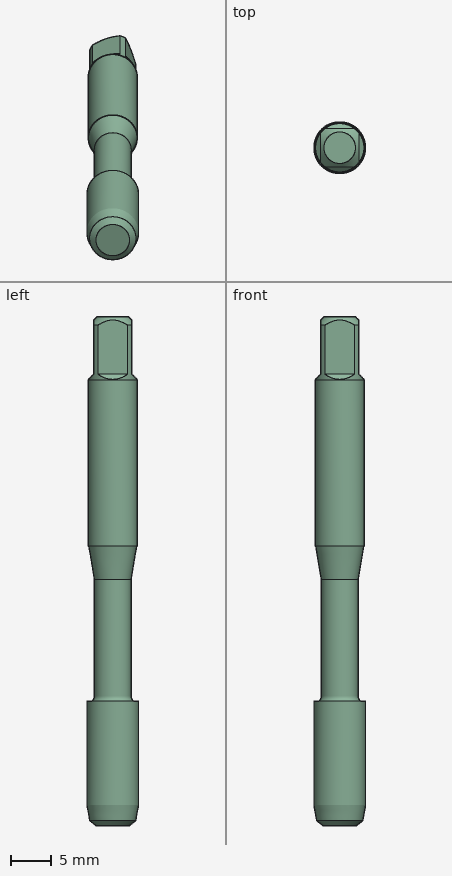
import cadquery as cq
import math

total_length = 62.2

thread_diameter = 6.35
lead_end_diameter = 5.65
tip_diameter = 4.1
tip_chamfer_height = 0.6
lead_top = 2.5
thread_top = 15.25
neck_diameter = 4.55
neck_top = 30.1
neck_root_radius = 0.7
neck_root_height = 0.55

cone_top_diameter = 5.9
cone_top = 34.2
shank_diameter = 6.05
shank_top = 54.5
drive_corner_diameter = 5.9
drive_across_flats = 4.65
drive_end_diameter = 3.85

drive_chamfer = (drive_corner_diameter - drive_end_diameter) / 2
flat_runout = (shank_diameter - drive_across_flats) / 2
flat_bottom = shank_top + flat_runout


def revolved(stations):
    """Solid of revolution about Z from (diameter, height) stations, bottom to top."""
    bottom = stations[0][1]
    top = stations[-1][1]
    outline = [(diameter / 2, height) for diameter, height in stations]
    points = [(0, bottom)] + outline + [(0, top)]
    return cq.Workplane("XZ").polyline(points).close().revolve(360, (0, 0), (0, 1))


def flat_cutter():
    """Material removed on the +X side to leave one drive flat with a sloping run-out."""
    flat_position = drive_across_flats / 2
    outer = shank_diameter
    runout_drop = outer - flat_position
    points = [
        (flat_position, total_length),
        (flat_position, flat_bottom),
        (outer, flat_bottom - runout_drop),
        (outer, total_length),
    ]
    return cq.Workplane("XZ").polyline(points).close().extrude(shank_diameter, both=True)


def make_neck_root():
    """Concave collar: an arc tangent to the neck that runs down and out onto the thread shoulder."""
    neck_radius = neck_diameter / 2
    arc_top = thread_top + neck_root_height

    def arc_point(drop):
        spread = neck_root_radius - math.sqrt(neck_root_radius**2 - drop**2)
        return (neck_radius + spread, arc_top - drop)

    outline = (
        cq.Workplane("XZ")
        .moveTo(0, thread_top)
        .lineTo(*arc_point(neck_root_height))
        .threePointArc(arc_point(neck_root_height / 2), arc_point(0))
        .lineTo(0, arc_top)
        .close()
    )
    return outline.revolve(360, (0, 0), (0, 1))


def make_cutting_end():
    cutter = revolved([
        (tip_diameter, 0),
        (lead_end_diameter, tip_chamfer_height),
        (thread_diameter, lead_top),
        (thread_diameter, thread_top),
        (neck_diameter, thread_top),
        (neck_diameter, neck_top),
    ])
    return cutter.union(make_neck_root())


def make_shank():
    shank = revolved([
        (neck_diameter, neck_top),
        (cone_top_diameter, cone_top),
        (shank_diameter, cone_top),
        (shank_diameter, shank_top),
        (drive_corner_diameter, shank_top),
        (drive_corner_diameter, total_length - drive_chamfer),
        (drive_end_diameter, total_length),
    ])
    for side in range(4):
        shank = shank.cut(flat_cutter().rotate((0, 0, 0), (0, 0, 1), 90 * side))
    return shank


cutting_end = make_cutting_end()
shank = make_shank()

result = cq.Compound.makeCompound([cutting_end.val(), shank.val()])